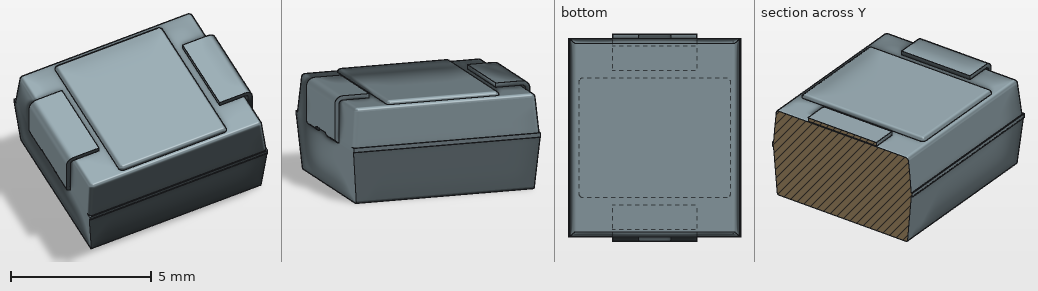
import cadquery as cq

overall_length = 7.4
overall_height = 3.67

body_width = 6.07
body_length = 7.08
draft_angle = 5.0
band_width = 6.15
band_bottom = 1.94
band_thickness = 0.16
upper_fillet = 0.15
underside_fillet = 0.1

pad_width = 5.42
pad_length = 4.28
pad_top = 3.64
pad_fillet = 0.15
pad_embed = 0.15

strip_thickness = 0.16
terminal_width = 3.0
top_leg_length = 1.3
lower_leg_length = 0.6
top_bend_radius = 0.3
lower_bend_radius = 0.18
notch_width = 1.15
notch_corner_radius = 0.13

band_top = band_bottom + band_thickness
body_top = overall_height - strip_thickness
outer_y = overall_length / 2


def make_lower_body():
    """Half below the band, narrowing downwards, with rounded lower edges along Y."""
    lower = (
        cq.Workplane("XY", origin=(0, 0, band_bottom))
        .rect(body_width, body_length)
        .extrude(-band_bottom, taper=draft_angle)
    )
    return lower.faces("<Z").edges("|Y").fillet(underside_fillet)


def make_upper_body():
    """Half above the band, narrowing upwards, with rounded corners and top edges."""
    upper = (
        cq.Workplane("XY", origin=(0, 0, band_top))
        .rect(body_width, body_length)
        .extrude(body_top - band_top, taper=draft_angle)
    )
    return upper.edges("not <Z").fillet(upper_fillet)


def make_band():
    """Thin parting band, slightly proud of the body on the X sides."""
    return (
        cq.Workplane("XY", origin=(0, 0, band_bottom))
        .rect(band_width, body_length)
        .extrude(band_thickness)
    )


def make_pad():
    """Rounded pad whose lower part is sunk into the body."""
    bottom = body_top - pad_embed
    pad = (
        cq.Workplane("XY", origin=(0, 0, bottom))
        .rect(pad_width, pad_length)
        .extrude(pad_top - bottom)
    )
    return pad.edges("not <Z").fillet(pad_fillet)


def make_terminal():
    """C-shaped strip on the +Y end, its lower leg entering the body and notched at mid-width."""
    inner_y = outer_y - strip_thickness
    top_end_y = outer_y - top_leg_length
    lower_end_y = outer_y - lower_leg_length
    top_bend_y = outer_y - top_bend_radius
    lower_bend_y = outer_y - lower_bend_radius
    top_bend_z = overall_height - top_bend_radius
    lower_bend_z = band_bottom + lower_bend_radius
    inner_top_radius = top_bend_radius - strip_thickness
    inner_lower_radius = lower_bend_radius - strip_thickness
    strip = (
        cq.Workplane("YZ", origin=(-terminal_width / 2, 0, 0))
        .moveTo(top_end_y, overall_height)
        .lineTo(top_bend_y, overall_height)
        .radiusArc((outer_y, top_bend_z), top_bend_radius)
        .lineTo(outer_y, lower_bend_z)
        .radiusArc((lower_bend_y, band_bottom), lower_bend_radius)
        .lineTo(lower_end_y, band_bottom)
        .lineTo(lower_end_y, band_bottom + strip_thickness)
        .lineTo(lower_bend_y, band_bottom + strip_thickness)
        .radiusArc((inner_y, lower_bend_z), -inner_lower_radius)
        .lineTo(inner_y, top_bend_z)
        .radiusArc((top_bend_y, body_top), -inner_top_radius)
        .lineTo(top_end_y, body_top)
        .close()
        .extrude(terminal_width)
    )
    notch_height = lower_bend_radius
    notch = (
        cq.Workplane("XY", origin=(0, outer_y, band_bottom))
        .box(notch_width, 2 * lower_leg_length, notch_height, centered=(True, True, False))
        .edges("|Y and >Z")
        .fillet(notch_corner_radius)
    )
    return strip.cut(notch)


terminal = make_terminal()
result = (
    make_lower_body()
    .union(make_band())
    .union(make_upper_body())
    .union(make_pad())
    .union(terminal)
    .union(terminal.mirror("XZ"))
)